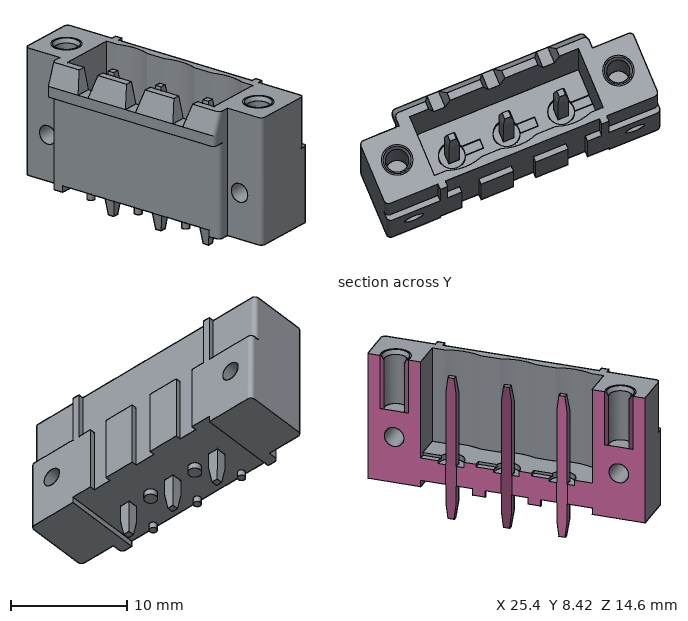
import cadquery as cq
import math


LENGTH = 25.4
HEIGHT = 12.0
BACK_Y = 4.1
BODY_LENGTH = 17.98
BODY_DEPTH = 7.62
FLANGE_DEPTH = 6.5
CORNER_RADIUS = 0.4
BODY_FRONT_Y = BACK_Y - BODY_DEPTH
FLANGE_FRONT_Y = BACK_Y - FLANGE_DEPTH

PIN_PITCH = 5.08
PIN_XS = [-PIN_PITCH, 0, PIN_PITCH]
MID_PITCH_XS = [-PIN_PITCH / 2, PIN_PITCH / 2]
PIN_WIDTH = 1.0
PIN_TIP_WIDTH = 0.58
PIN_TOP = 10.92
PIN_BOTTOM = -2.62
PIN_TAPER_LENGTH = 1.52

LIP_OVERHANG = 0.8
LIP_BOTTOM = 9.0
LIP_EDGE_TOP = 10.0
LIP_FRONT_Y = BODY_FRONT_Y - LIP_OVERHANG

NOTCH_TOP_WIDTH = 2.0
NOTCH_FLOOR_WIDTH = 1.07

CAVITY_LENGTH = 15.7
CAVITY_DEPTH = 5.6
CAVITY_BACK_Y = BACK_Y - 1.32
CAVITY_FRONT_Y = CAVITY_BACK_Y - CAVITY_DEPTH
CAVITY_FLOOR = 3.05
SCALLOP_WIDTH = 3.25
SCALLOP_DEPTH = 0.3

PIN_RECESS_DIAMETER = 2.3
PIN_RECESS_DEPTH = 0.5
FLOOR_SLOT_WIDTH = 0.85
FLOOR_SLOT_LENGTH = 2.77
FLOOR_SLOT_DEPTH = 0.25

BACK_LAYER = 0.5
LEDGE_TOP = 7.2
BACK_RIB_WIDTH = 0.69
BACK_PAD_WIDTH = 3.02
BACK_GROOVES_HALF_SPAN = 5.85

UNDERSIDE_CLEARANCE = 0.6
PEG_DIAMETER = 1.2
SMALL_PEG_DIAMETER = 0.7
SMALL_PEG_Y = BODY_FRONT_Y + SMALL_PEG_DIAMETER / 2

FLANGE_HOLE_X = 10.29
FLANGE_HOLE_XS = [-FLANGE_HOLE_X, FLANGE_HOLE_X]
CROSS_HOLE_DIAMETER = 1.75
CROSS_HOLE_Z = 4.37
BUSH_Y = 0.28
BUSH_DIAMETER = 2.7
BUSH_BORE_DIAMETER = 2.0
BUSH_MOUTH_DIAMETER = 2.41
BUSH_MOUTH_DEPTH = 0.38
BUSH_LENGTH = 5.08


def block(x_min, x_max, y_min, y_max, z_min, z_max):
    """A box given by its limits along each axis."""
    size = (x_max - x_min, y_max - y_min, z_max - z_min)
    return cq.Workplane("XY").box(*size, centered=False).translate((x_min, y_min, z_min))


def cylinder(x, y, z_min, z_max, diameter):
    """An upright cylinder."""
    return cq.Workplane("XY", origin=(x, y, z_min)).circle(diameter / 2).extrude(z_max - z_min)


def make_flanges():
    """The full-length block whose two ends carry the screw flanges, stepped in above the back ledge."""
    half = LENGTH / 2
    lower = block(-half, half, FLANGE_FRONT_Y, BACK_Y, 0, LEDGE_TOP)
    upper = block(-half, half, FLANGE_FRONT_Y, BACK_Y - BACK_LAYER, LEDGE_TOP, HEIGHT)
    return lower.edges("|Z").fillet(CORNER_RADIUS).union(upper.edges("|Z").fillet(CORNER_RADIUS))


def make_front_body():
    """The deeper middle block with the sloped latching lip, its front corners rounded."""
    half = BODY_LENGTH / 2
    wall = block(-half, half, BODY_FRONT_Y, 0, 0, LIP_BOTTOM).edges("|Z and <Y").fillet(CORNER_RADIUS)
    lip = (
        cq.Workplane("YZ", origin=(-half, 0, 0))
        .moveTo(0, LIP_BOTTOM)
        .lineTo(LIP_FRONT_Y, LIP_BOTTOM)
        .lineTo(LIP_FRONT_Y, LIP_EDGE_TOP)
        .lineTo(BODY_FRONT_Y, HEIGHT)
        .lineTo(0, HEIGHT)
        .close()
        .extrude(BODY_LENGTH)
    )
    end_edges = lip.faces("<Y").edges("|Z").vals()
    slope_edges = lip.edges("not (|X or |Y or |Z)").vals()
    lip = lip.newObject(end_edges + slope_edges).fillet(CORNER_RADIUS)
    return wall.union(lip)


def make_cavity():
    """The plug cavity, with a shallow round scallop in its back wall behind each pin."""
    half = CAVITY_LENGTH / 2
    outline = (
        cq.Workplane("XY", origin=(0, 0, CAVITY_FLOOR))
        .moveTo(half, CAVITY_FRONT_Y)
        .lineTo(-half, CAVITY_FRONT_Y)
        .lineTo(-half, CAVITY_BACK_Y)
    )
    for x in PIN_XS:
        outline = outline.lineTo(x - SCALLOP_WIDTH / 2, CAVITY_BACK_Y).threePointArc(
            (x, CAVITY_BACK_Y + SCALLOP_DEPTH), (x + SCALLOP_WIDTH / 2, CAVITY_BACK_Y)
        )
    return outline.lineTo(half, CAVITY_BACK_Y).close().extrude(HEIGHT - CAVITY_FLOOR)


def make_key_notch(x):
    """A notch through the front wall and lip that widens towards the top."""
    return (
        cq.Workplane("XZ", origin=(x, CAVITY_FRONT_Y, 0))
        .moveTo(-NOTCH_FLOOR_WIDTH / 2, LIP_EDGE_TOP)
        .lineTo(NOTCH_FLOOR_WIDTH / 2, LIP_EDGE_TOP)
        .lineTo(NOTCH_TOP_WIDTH / 2, HEIGHT)
        .lineTo(-NOTCH_TOP_WIDTH / 2, HEIGHT)
        .close()
        .extrude(CAVITY_FRONT_Y - LIP_FRONT_Y)
    )


def make_pin_seat(x):
    """The round recess, side slot and square through hole that surround one pin."""
    half = PIN_WIDTH / 2
    slot_start = max(x - FLOOR_SLOT_LENGTH, -CAVITY_LENGTH / 2)
    recess = cylinder(x, 0, CAVITY_FLOOR - PIN_RECESS_DEPTH, CAVITY_FLOOR, PIN_RECESS_DIAMETER)
    slot = block(
        slot_start, x, -FLOOR_SLOT_WIDTH / 2, FLOOR_SLOT_WIDTH / 2,
        CAVITY_FLOOR - FLOOR_SLOT_DEPTH, CAVITY_FLOOR,
    )
    hole = block(x - half, x + half, -half, half, 0, CAVITY_FLOOR)
    return recess.union(slot).union(hole)


def make_back_ribs():
    """Two ribs that carry the full back depth up to the top, in line with the cavity ends."""
    outer = CAVITY_LENGTH / 2
    inner = outer - BACK_RIB_WIDTH
    layer_y = BACK_Y - BACK_LAYER
    left = block(-outer, -inner, layer_y, BACK_Y, LEDGE_TOP, HEIGHT)
    right = block(inner, outer, layer_y, BACK_Y, LEDGE_TOP, HEIGHT)
    return left.union(right)


def make_back_grooves():
    """Three full-height grooves in the back face, with a pad left standing between each two."""
    half = BACK_GROOVES_HALF_SPAN
    grooves = block(-half, half, BACK_Y - BACK_LAYER, BACK_Y, 0, HEIGHT)
    for x in MID_PITCH_XS:
        pad = block(
            x - BACK_PAD_WIDTH / 2, x + BACK_PAD_WIDTH / 2, BACK_Y - BACK_LAYER, BACK_Y, 0, HEIGHT
        )
        grooves = grooves.cut(pad)
    return grooves


def make_standoff_pegs():
    """Round pegs under the raised underside: large between the pins, small in front of them."""
    large = [cylinder(x, 0, 0, UNDERSIDE_CLEARANCE, PEG_DIAMETER) for x in MID_PITCH_XS]
    small = [cylinder(x, SMALL_PEG_Y, 0, UNDERSIDE_CLEARANCE, SMALL_PEG_DIAMETER) for x in PIN_XS]
    return large + small


def make_housing():
    housing = make_flanges().union(make_front_body()).union(make_back_ribs())
    housing = housing.cut(make_cavity()).cut(make_back_grooves())

    half = CAVITY_LENGTH / 2
    housing = housing.cut(block(-half, half, BODY_FRONT_Y, BACK_Y, 0, UNDERSIDE_CLEARANCE))
    for peg in make_standoff_pegs():
        housing = housing.union(peg)

    for x in PIN_XS:
        housing = housing.cut(make_key_notch(x)).cut(make_pin_seat(x))

    for x in FLANGE_HOLE_XS:
        cross_hole = (
            cq.Workplane("XZ", origin=(x, BACK_Y, CROSS_HOLE_Z))
            .circle(CROSS_HOLE_DIAMETER / 2)
            .extrude(FLANGE_DEPTH)
        )
        bush_hole = cylinder(x, BUSH_Y, HEIGHT - BUSH_LENGTH, HEIGHT, BUSH_DIAMETER)
        housing = housing.cut(cross_hole).cut(bush_hole)
    return housing


def make_pin(x):
    """A square pin that tapers to a blunt tip at both ends."""
    taper = math.degrees(math.atan((PIN_WIDTH - PIN_TIP_WIDTH) / 2 / PIN_TAPER_LENGTH))
    shank_length = PIN_TOP - PIN_BOTTOM - 2 * PIN_TAPER_LENGTH
    pin = (
        cq.Workplane("XY", origin=(x, 0, PIN_BOTTOM + PIN_TAPER_LENGTH))
        .rect(PIN_WIDTH, PIN_WIDTH)
        .extrude(shank_length)
    )
    for end in [">Z", "<Z"]:
        pin = pin.faces(end).workplane().rect(PIN_WIDTH, PIN_WIDTH).extrude(PIN_TAPER_LENGTH, taper=taper)
    return pin


def make_bush(x):
    """A plain round bush, flush with the flange top, its bore countersunk at the mouth."""
    wall_profile = (
        cq.Workplane("XZ")
        .moveTo(BUSH_BORE_DIAMETER / 2, HEIGHT - BUSH_LENGTH)
        .lineTo(BUSH_DIAMETER / 2, HEIGHT - BUSH_LENGTH)
        .lineTo(BUSH_DIAMETER / 2, HEIGHT)
        .lineTo(BUSH_MOUTH_DIAMETER / 2, HEIGHT)
        .lineTo(BUSH_BORE_DIAMETER / 2, HEIGHT - BUSH_MOUTH_DEPTH)
        .close()
    )
    return wall_profile.revolve(360, (0, 0, 0), (0, 1, 0)).translate((x, BUSH_Y, 0))


housing = make_housing()
pins = [make_pin(x) for x in PIN_XS]
bushes = [make_bush(x) for x in FLANGE_HOLE_XS]

result = cq.Compound.makeCompound(
    [housing.val()] + [pin.val() for pin in pins] + [bush.val() for bush in bushes]
)